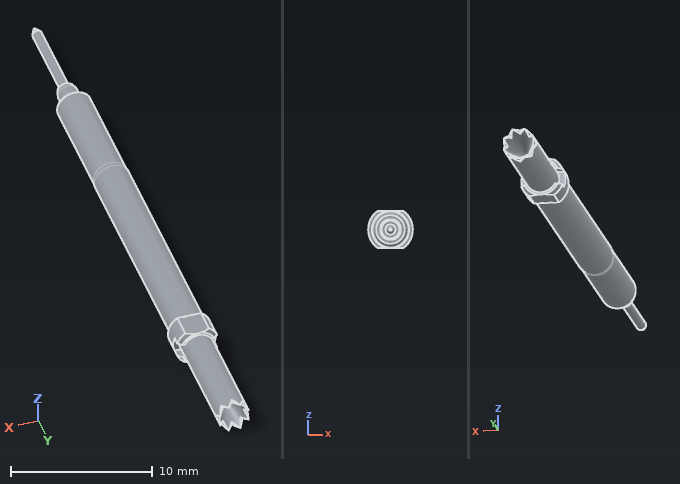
import cadquery as cq
import math

total_length = 44.8
tip_y = -total_length / 2
crown_y = total_length / 2

tip_flat_dia = 0.2
needle_dia = 0.7
neck_end_dia = 1.25
neck_dia = 1.5
barrel_dia = 2.65
lower_barrel_dia = 2.55
collar_dia = 3.2
head_dia = 2.3

needle_shoulder_y = tip_y + 0.6
neck_y = tip_y + 7.0
barrel_y = tip_y + 8.6
step_y = crown_y - 27.45
collar_front_y = crown_y - 8.1
collar_back_y = collar_front_y - 2.05

neck_taper_length = 0.4
step_taper_length = 0.4
barrel_chamfer = 0.25
collar_chamfer = (collar_dia - barrel_dia) / 2

notch_width = 1.1
notch_length = 0.85

crown_points = 8
crown_depth = 0.65
crown_cone_angle = 40


def revolved_body():
    """Round body: needle, neck, two-step barrel, collar and head."""
    profile = [
        (0, tip_y),
        (tip_flat_dia / 2, tip_y),
        (needle_dia / 2, needle_shoulder_y),
        (needle_dia / 2, neck_y),
        (neck_end_dia / 2, neck_y),
        (neck_dia / 2, neck_y + neck_taper_length),
        (neck_dia / 2, barrel_y),
        (lower_barrel_dia / 2 - barrel_chamfer, barrel_y),
        (lower_barrel_dia / 2, barrel_y + barrel_chamfer),
        (lower_barrel_dia / 2, step_y - step_taper_length),
        (barrel_dia / 2, step_y),
        (barrel_dia / 2, collar_back_y),
        (collar_dia / 2, collar_back_y),
        (collar_dia / 2, collar_front_y - collar_chamfer),
        (collar_dia / 2 - collar_chamfer, collar_front_y),
        (head_dia / 2, collar_front_y),
        (head_dia / 2, crown_y),
        (0, crown_y),
    ]
    return cq.Workplane("XY").polyline(profile).close().revolve(360, (0, 0, 0), (0, 1, 0))


def crown_countersink():
    """Conical recess that thins the crown to a ring of sharp points."""
    radius = head_dia / 2
    depth = radius / math.tan(math.radians(crown_cone_angle / 2))
    profile = [(0, crown_y), (radius, crown_y), (0, crown_y - depth)]
    return cq.Workplane("XY").polyline(profile).close().revolve(360, (0, 0, 0), (0, 1, 0))


def flatten_collar(body):
    """Trim the collar to flats level with the barrel on +Z and -Z."""
    envelope = cq.Workplane("XY").box(collar_dia, total_length, barrel_dia)
    return body.intersect(envelope)


def collar_notches():
    """Notches on +X and -X, open at the collar front and cut in to the head surface."""
    bar = cq.Workplane("XY").box(collar_dia, notch_length, notch_width)
    bar = bar.translate((0, collar_front_y - notch_length / 2, 0))
    core = cq.Workplane("XZ").circle(head_dia / 2).extrude(total_length, both=True)
    return bar.cut(core)


def crown_groove(angle):
    """One V-groove across the full head diameter, turned about the axis."""
    half_width = head_dia / 2 * math.sin(math.pi / crown_points)
    groove = (
        cq.Workplane("XY")
        .polyline([(-half_width, crown_y), (half_width, crown_y), (0, crown_y - crown_depth)])
        .close()
        .extrude(head_dia, both=True)
    )
    return groove.rotate((0, 0, 0), (0, 1, 0), angle)


result = flatten_collar(revolved_body()).cut(collar_notches())
result = result.cut(crown_countersink())
for index in range(crown_points // 2):
    result = result.cut(crown_groove(index * 360 / crown_points))